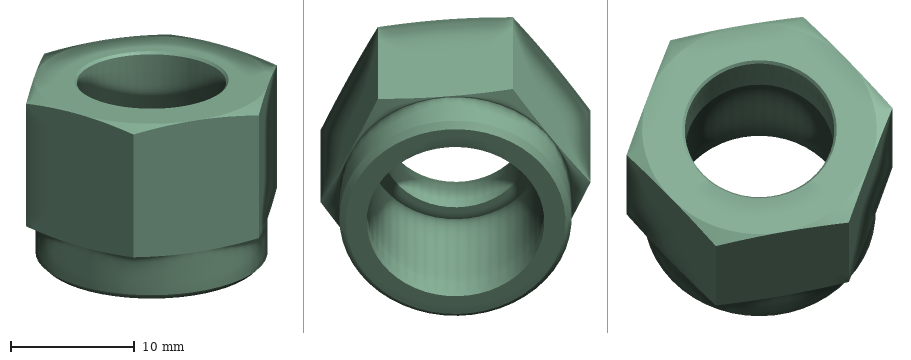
import cadquery as cq
import math

total_height = 15.5
collar_height = 4.0
hex_height = total_height - collar_height

hex_sides = 6
half_side_angle = 180 / hex_sides
across_flats = 19.0
across_corners = across_flats / math.cos(math.radians(half_side_angle))
corner_chamfer_angle = 15.0

collar_diameter = 18.8
collar_chamfer = 0.5

tube_hole_diameter = 12.1
tube_hole_depth = 4.0
tube_hole_chamfer = 0.2
thread_core_diameter = 14.38


def make_hexagon():
    """Hexagonal prism whose corners are cut by a cone at both ends."""
    prism = (
        cq.Workplane("XY")
        .workplane(offset=collar_height)
        .polygon(hex_sides, across_corners)
        .extrude(hex_height)
        .rotate((0, 0, 0), (0, 0, 1), half_side_angle)
    )
    flat_radius = across_flats / 2
    corner_radius = across_corners / 2
    cone_drop = (corner_radius - flat_radius) * math.tan(math.radians(corner_chamfer_angle))
    envelope = (
        cq.Workplane("XZ")
        .moveTo(0, collar_height)
        .lineTo(flat_radius, collar_height)
        .lineTo(corner_radius, collar_height + cone_drop)
        .lineTo(corner_radius, total_height - cone_drop)
        .lineTo(flat_radius, total_height)
        .lineTo(0, total_height)
        .close()
        .revolve(360, (0, 0, 0), (0, 1, 0))
    )
    return prism.intersect(envelope)


def make_collar():
    """Round collar with a chamfered bottom rim."""
    return (
        cq.Workplane("XY")
        .circle(collar_diameter / 2)
        .extrude(collar_height)
        .faces("<Z")
        .chamfer(collar_chamfer)
    )


def make_bore():
    """Through bore with a step and a chamfered mouth at the top."""
    hole_radius = tube_hole_diameter / 2
    core_radius = thread_core_diameter / 2
    step_height = total_height - tube_hole_depth
    return (
        cq.Workplane("XZ")
        .lineTo(core_radius, 0)
        .lineTo(core_radius, step_height)
        .lineTo(hole_radius, step_height)
        .lineTo(hole_radius, total_height - tube_hole_chamfer)
        .lineTo(hole_radius + tube_hole_chamfer, total_height)
        .lineTo(0, total_height)
        .close()
        .revolve(360, (0, 0, 0), (0, 1, 0))
    )


result = make_hexagon().union(make_collar()).cut(make_bore())